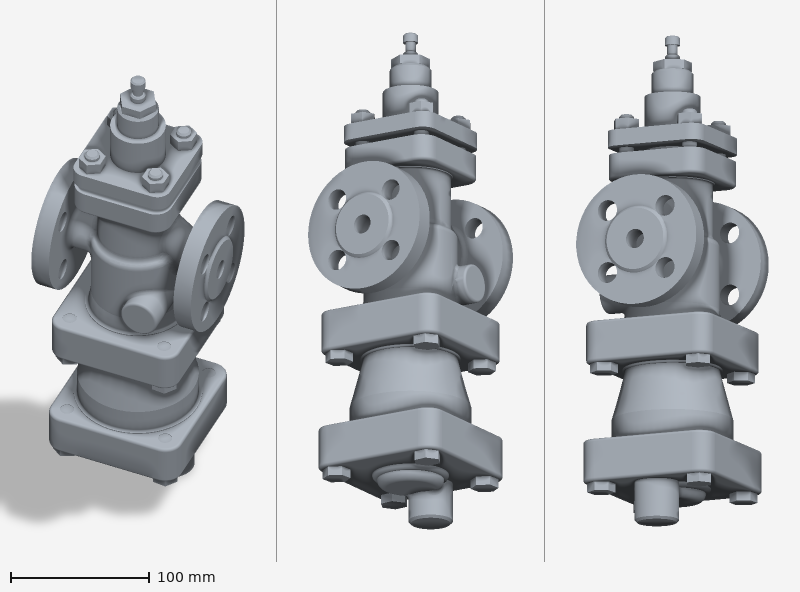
import cadquery as cq
import math

TOTAL_HEIGHT = 361.2
SPINDLE_DIA = 11.0
SPINDLE_NECK_DIA = 7.5
SPINDLE_CHAMFER = 1.0
SPINDLE_NECK_CHAMFER = 0.7
SPINDLE_NECK_TOP = 354.7
SPINDLE_NECK_BOTTOM = 347.5
LOCKNUT_TOP = 342.5
LOCKNUT_CORNER_DIA = 28.0
BONNET_UPPER_TOP = 335.5
BONNET_UPPER_DIA = 30.0
BONNET_UPPER_CHAMFER = 1.8
BONNET_LOWER_TOP = 317.0
BONNET_LOWER_DIA = 40.0
GAP_CORE_DIA = 40.0

COVER_WIDTH = 75.0
COVER_TOP = 289.0
COVER_BOTTOM = 277.0
COVER_CORNER_RADIUS = 10.0
NECK_FLANGE_TOP = 271.5
NECK_FLANGE_BOTTOM = 253.0
NECK_FLANGE_CORNER_RADIUS = 12.3
MIDDLE_WIDTH = 99.5
MIDDLE_TOP = 147.7
MIDDLE_BOTTOM = 117.5
MIDDLE_CORNER_RADIUS = 11.5
BASE_WIDTH = 103.0
BASE_TOP = 60.7
BASE_BOTTOM = 29.5
BASE_CORNER_RADIUS = 12.5
FLANGE_EDGE_RADIUS = 2.0

STUD_OFFSET = 25.0
STUD_DIA = 11.0
STUD_TOP = 301.3
STUD_CHAMFER = 1.5
NUT_TOP = 297.5
NUT_CORNER_DIA = 19.5
NUT_TURN = 30.0
MIDDLE_BOLT_OFFSET = 37.2
BASE_BOLT_OFFSET = 38.5
BOLT_HEAD_HEIGHT = 6.5
BOLT_HEAD_CORNER_DIA = 20.2
BOLT_HEAD_TURN = 5.0
BOLT_END_DIA = 10.0
BOLT_END_RECESS = 0.5

UPPER_BODY_DIA = 58.0
LOWER_BODY_DIA = 68.0
SHOULDER_TOP = 215.0
SHOULDER_BOTTOM = 206.3
DRAFT_TOP = 160.0
BODY_FOOT_DIA = 71.0
FOOT_FILLET = 1.0
PAD_HEIGHT = 0.7
UPPER_PAD_DIA = 61.5
MIDDLE_PAD_DIA = 76.5
BASE_PAD_DIA = 93.0
REDUCER_TOP_DIA = 68.0
REDUCER_DIA = 87.8
REDUCER_CONE_BOTTOM = 79.5

FACE_TO_FACE = 130.0
PORT_Z = 201.5
PIPE_FLANGE_DIA = 95.0
RAISED_FACE_HEIGHT = 2.0
RAISED_FACE_DIA = 49.0
RAISED_FACE_TAPER = 45.0
PIPE_FLANGE_THICKNESS = 13.7
FLANGE_BACK_X = FACE_TO_FACE / 2 - RAISED_FACE_HEIGHT - PIPE_FLANGE_THICKNESS
PIPE_HOLE_DIA = 15.0
PIPE_HOLE_OFFSET = 22.8
PORT_BORE_DIA = 14.0
PORT_BORE_DEPTH = 18.0
PORT_TUBE_DIA = 29.0
PORT_FLANGE_FILLET = 3.5
PORT_BODY_FILLET = 5.5
OUTLET_SLOPE = math.atan2(3, 4)
OUTLET_AXIS_X = 53.0
OUTLET_TUBE_LENGTH = 49.0

PLUG_X = 19.5
PLUG_Z = 172.0
PLUG_DIA = 28.0
PLUG_FACE_Y = -43.0
PLUG_EDGE_RADIUS = 1.8
PLUG_FOOT_FILLET = 1.8

DISH_RADIUS = 24.2
DISH_FILLET = 3.5
DISH_BOTTOM_RADIUS = 17.0
DISH_BOTTOM = 19.5
DRAIN_X = 27.0
DRAIN_DIA = 32.0
DRAIN_CHAMFER = 1.8
DRAIN_FILLET = 3.0

TOLERANCE = 0.05


def rod(diameter, bottom, top, x=0.0, y=0.0):
    """Upright round bar between two heights."""
    return cq.Workplane("XY", origin=(x, y, bottom)).circle(diameter / 2).extrude(top - bottom)


def square_flange(width, corner_radius, bottom, top):
    """Square plate with rounded upright corners."""
    plate = cq.Workplane("XY", origin=(0, 0, bottom)).rect(width, width).extrude(top - bottom)
    return plate.edges("|Z").fillet(corner_radius)


def hexagon(corner_dia, bottom, top, x=0.0, y=0.0, turn=0.0):
    """Upright hexagon bar; at zero turn two corners lie along X."""
    bar = cq.Workplane("XY").polygon(6, corner_dia).extrude(top - bottom)
    return bar.rotate((0, 0, 0), (0, 0, 1), turn).translate((x, y, bottom))


def corner_points(offset):
    """The four corners of a square centred on the Z axis, in turn from +X -Y."""
    return [(offset, -offset), (offset, offset), (-offset, offset), (-offset, -offset)]


def is_saddle(edge):
    """True for the free-form seams where one round surface runs into another."""
    return edge.geomType() == "BSPLINE"


def is_tube_end(edge):
    """True for the seam between a connecting tube and the back of its pipe flange."""
    at_flange_back = abs(abs(edge.Center().x) - FLANGE_BACK_X) < TOLERANCE
    return at_flange_back and abs(edge.BoundingBox().ylen - PORT_TUBE_DIA) < TOLERANCE


def fillet_edges(solid, wanted, radius):
    """Round the edges of a solid that pass a test."""
    edges = [edge for edge in solid.edges().vals() if wanted(edge)]
    return solid.newObject(edges).fillet(radius)


def spindle():
    head = rod(SPINDLE_DIA, SPINDLE_NECK_TOP, TOTAL_HEIGHT).faces(">Z").chamfer(SPINDLE_CHAMFER)
    neck = rod(SPINDLE_NECK_DIA, SPINDLE_NECK_BOTTOM, SPINDLE_NECK_TOP)
    neck = neck.faces("<Z").chamfer(SPINDLE_NECK_CHAMFER)
    shank = rod(SPINDLE_DIA, BONNET_UPPER_TOP, SPINDLE_NECK_BOTTOM)
    shank = shank.faces(">Z").chamfer(SPINDLE_CHAMFER)
    locknut = hexagon(LOCKNUT_CORNER_DIA, BONNET_UPPER_TOP, LOCKNUT_TOP)
    return head.union(neck).union(shank).union(locknut)


def bonnet():
    upper = rod(BONNET_UPPER_DIA, BONNET_LOWER_TOP, BONNET_UPPER_TOP)
    upper = upper.faces(">Z").chamfer(BONNET_UPPER_CHAMFER)
    lower = rod(BONNET_LOWER_DIA, COVER_TOP, BONNET_LOWER_TOP)
    cover = square_flange(COVER_WIDTH, COVER_CORNER_RADIUS, COVER_BOTTOM, COVER_TOP)
    core = rod(GAP_CORE_DIA, NECK_FLANGE_TOP, COVER_BOTTOM)
    assembly = upper.union(lower).union(cover).union(core)
    for x, y in corner_points(STUD_OFFSET):
        stud = rod(STUD_DIA, NECK_FLANGE_TOP, STUD_TOP, x, y).faces(">Z").chamfer(STUD_CHAMFER)
        nut = hexagon(NUT_CORNER_DIA, COVER_TOP, NUT_TOP, x, y, NUT_TURN)
        assembly = assembly.union(stud).union(nut)
    return assembly


def turned_body():
    """Body from the neck flange down to the middle flange, with an S-shaped shoulder."""
    upper_r = UPPER_BODY_DIA / 2
    lower_r = LOWER_BODY_DIA / 2
    foot_r = BODY_FOOT_DIA / 2
    upper_pad_z = NECK_FLANGE_BOTTOM - PAD_HEIGHT
    middle_pad_z = MIDDLE_TOP + PAD_HEIGHT
    shoulder_r = (upper_r + lower_r) / 2
    shoulder_z = (SHOULDER_TOP + SHOULDER_BOTTOM) / 2
    profile = (
        cq.Workplane("XZ")
        .moveTo(0, NECK_FLANGE_BOTTOM)
        .lineTo(UPPER_PAD_DIA / 2, NECK_FLANGE_BOTTOM)
        .lineTo(UPPER_PAD_DIA / 2, upper_pad_z)
        .lineTo(upper_r + FOOT_FILLET, upper_pad_z)
        .tangentArcPoint((upper_r, upper_pad_z - FOOT_FILLET), relative=False)
        .lineTo(upper_r, SHOULDER_TOP)
        .tangentArcPoint((shoulder_r, shoulder_z), relative=False)
        .tangentArcPoint((lower_r, SHOULDER_BOTTOM), relative=False)
        .lineTo(lower_r, DRAFT_TOP)
        .lineTo(foot_r, middle_pad_z + FOOT_FILLET)
        .tangentArcPoint((foot_r + FOOT_FILLET, middle_pad_z), relative=False)
        .lineTo(MIDDLE_PAD_DIA / 2, middle_pad_z)
        .lineTo(MIDDLE_PAD_DIA / 2, MIDDLE_TOP)
        .lineTo(0, MIDDLE_TOP)
        .close()
    )
    return profile.revolve(360, (0, 0, 0), (0, 1, 0))


def reducer():
    """Cone and short cylinder between the middle flange and the base."""
    top_r = REDUCER_TOP_DIA / 2
    bottom_r = REDUCER_DIA / 2
    pad_z = BASE_TOP + PAD_HEIGHT
    profile = (
        cq.Workplane("XZ")
        .moveTo(0, MIDDLE_BOTTOM)
        .lineTo(top_r + FOOT_FILLET, MIDDLE_BOTTOM)
        .tangentArcPoint((top_r, MIDDLE_BOTTOM - FOOT_FILLET), relative=False)
        .lineTo(bottom_r, REDUCER_CONE_BOTTOM)
        .lineTo(bottom_r, pad_z + FOOT_FILLET)
        .tangentArcPoint((bottom_r + FOOT_FILLET, pad_z), relative=False)
        .lineTo(BASE_PAD_DIA / 2, pad_z)
        .lineTo(BASE_PAD_DIA / 2, BASE_TOP)
        .lineTo(0, BASE_TOP)
        .close()
    )
    return profile.revolve(360, (0, 0, 0), (0, 1, 0))


def bolted_flange(width, corner_radius, bottom, top, bolt_offset):
    """Square flange pair with slightly sunk bolt ends on top and hexagon heads below."""
    flange = square_flange(width, corner_radius, bottom, top)
    flange = flange.faces("<Z or >Z").edges().fillet(FLANGE_EDGE_RADIUS)
    for index, (x, y) in enumerate(corner_points(bolt_offset)):
        head = hexagon(
            BOLT_HEAD_CORNER_DIA, bottom - BOLT_HEAD_HEIGHT, bottom, x, y,
            turn=90 * index - BOLT_HEAD_TURN,
        )
        flange = flange.union(head).cut(rod(BOLT_END_DIA, top - BOLT_END_RECESS, top, x, y))
    return flange


def neck_flange():
    flange = square_flange(COVER_WIDTH, NECK_FLANGE_CORNER_RADIUS, NECK_FLANGE_BOTTOM, NECK_FLANGE_TOP)
    return flange.faces("<Z").edges().fillet(FLANGE_EDGE_RADIUS)


def pipe_flange(side):
    """Round flange facing -X (side -1) or +X (side 1), with a tapered raised face."""
    seat_x = side * (FACE_TO_FACE / 2 - RAISED_FACE_HEIGHT)
    plane = cq.Plane(origin=(seat_x, 0, PORT_Z), xDir=(0, 1, 0), normal=(side, 0, 0))
    raised_face = cq.Workplane(plane).circle(RAISED_FACE_DIA / 2)
    raised_face = raised_face.extrude(RAISED_FACE_HEIGHT, taper=RAISED_FACE_TAPER)
    disc = cq.Workplane(plane).circle(PIPE_FLANGE_DIA / 2).extrude(-PIPE_FLANGE_THICKNESS)
    holes = (
        cq.Workplane(plane)
        .pushPoints(corner_points(PIPE_HOLE_OFFSET))
        .circle(PIPE_HOLE_DIA / 2)
        .extrude(-PIPE_FLANGE_THICKNESS)
    )
    return disc.cut(holes).union(raised_face)


def port_bore(side):
    plane = cq.Plane(origin=(side * FACE_TO_FACE / 2, 0, PORT_Z), xDir=(0, 1, 0), normal=(side, 0, 0))
    return cq.Workplane(plane).circle(PORT_BORE_DIA / 2).extrude(-PORT_BORE_DEPTH)


def inlet_tube():
    start = cq.Workplane("YZ", origin=(-FLANGE_BACK_X, 0, PORT_Z))
    return start.circle(PORT_TUBE_DIA / 2).extrude(FLANGE_BACK_X)


def outlet_tube():
    """Tube falling from the upper body to the outlet flange, trimmed flush at its back."""
    rise = (-math.cos(OUTLET_SLOPE), 0, math.sin(OUTLET_SLOPE))
    section = cq.Plane(origin=(OUTLET_AXIS_X, 0, PORT_Z), xDir=(0, 1, 0), normal=rise)
    into_body = cq.Workplane(section).circle(PORT_TUBE_DIA / 2).extrude(OUTLET_TUBE_LENGTH)
    into_flange = cq.Workplane(section).circle(PORT_TUBE_DIA / 2).extrude(-PORT_TUBE_DIA)
    inboard = cq.Workplane("XY").box(
        FLANGE_BACK_X, 2 * PORT_TUBE_DIA, TOTAL_HEIGHT, centered=(False, True, False)
    )
    return into_body.union(into_flange).intersect(inboard)


def side_plug():
    plug = cq.Workplane("XZ", origin=(PLUG_X, PLUG_FACE_Y, PLUG_Z)).circle(PLUG_DIA / 2)
    return plug.extrude(PLUG_FACE_Y).faces("<Y").edges().fillet(PLUG_EDGE_RADIUS)


def drain():
    """Dished pan under the base with the drain pipe standing off-centre through it.

    The outlines lie on the -X side so that the seam of the pan stays clear of the pipe.
    """
    fillet_bottom = BASE_BOTTOM - DISH_FILLET
    dish = (
        cq.Workplane("XZ")
        .moveTo(0, BASE_BOTTOM)
        .lineTo(-DISH_RADIUS, BASE_BOTTOM)
        .lineTo(-DISH_RADIUS, fillet_bottom)
        .tangentArcPoint((-DISH_BOTTOM_RADIUS, DISH_BOTTOM), relative=False)
        .lineTo(0, DISH_BOTTOM)
        .close()
        .revolve(360, (0, 0, 0), (0, 1, 0))
    )
    rim = (
        cq.Workplane("XZ")
        .moveTo(0, BASE_BOTTOM)
        .lineTo(-DISH_RADIUS - DISH_FILLET, BASE_BOTTOM)
        .radiusArc((-DISH_RADIUS, fillet_bottom), -DISH_FILLET)
        .lineTo(0, fillet_bottom)
        .close()
        .revolve(360, (0, 0, 0), (0, 1, 0))
    )
    pipe = rod(DRAIN_DIA, 0, BASE_BOTTOM, DRAIN_X).faces("<Z").chamfer(DRAIN_CHAMFER)
    return fillet_edges(dish.union(pipe), is_saddle, DRAIN_FILLET).union(rim)


def valve_body():
    """Turned body with both pipe connections and the side plug, all joints rounded."""
    body = turned_body().union(inlet_tube()).union(outlet_tube()).union(side_plug())
    plug_top = PLUG_Z + PLUG_DIA / 2

    def is_port_joint(edge):
        return is_saddle(edge) and edge.Center().z > plug_top

    def is_plug_joint(edge):
        return is_saddle(edge) and edge.Center().z < plug_top

    body = fillet_edges(body, is_port_joint, PORT_BODY_FILLET)
    body = fillet_edges(body, is_plug_joint, PLUG_FOOT_FILLET)
    body = body.union(pipe_flange(-1)).union(pipe_flange(1))
    body = fillet_edges(body, is_tube_end, PORT_FLANGE_FILLET)
    return body.cut(port_bore(-1)).cut(port_bore(1))


result = valve_body()
for part in (
    neck_flange(),
    bonnet(),
    spindle(),
    bolted_flange(MIDDLE_WIDTH, MIDDLE_CORNER_RADIUS, MIDDLE_BOTTOM, MIDDLE_TOP, MIDDLE_BOLT_OFFSET),
    reducer(),
    bolted_flange(BASE_WIDTH, BASE_CORNER_RADIUS, BASE_BOTTOM, BASE_TOP, BASE_BOLT_OFFSET),
    drain(),
):
    result = result.union(part)